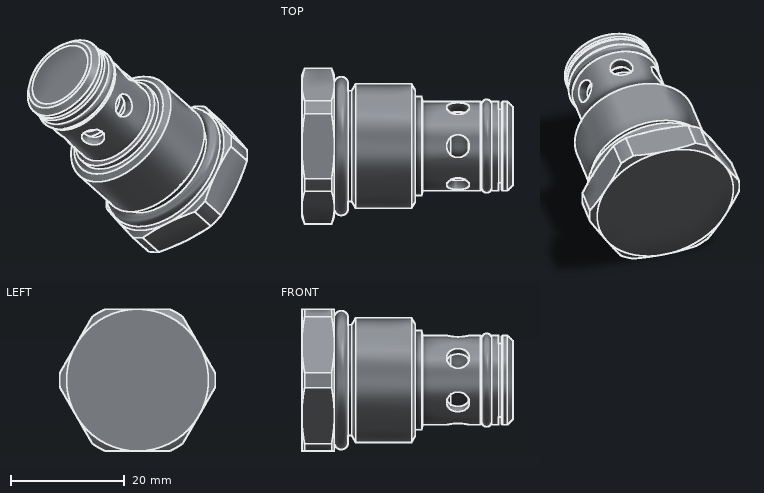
import cadquery as cq
import math


across_flats = 25.0
head_length = 5.7
corner_radius = 13.745
head_chamfer_length = 0.48
sharp_corner_diameter = across_flats / math.cos(math.radians(30))

neck_radius = 9.8
body_radius = 11.0
body_start = 8.78
shoulder_x = 20.0
body_chamfer_length = (body_radius - neck_radius) * math.tan(math.radians(30))

collar_radius = 8.75
collar_end = 21.1
nose_radius = 7.9
nose_start = 21.3
total_length = 37.2
tip_chamfer = 1.0
groove_edge_chamfer = 0.25

head_ring_thickness = 2.45
nose_ring_thickness = 1.7
nose_ring_outer_radius = 8.25
ring_groove_end = 33.4

tip_groove_start = 34.63
tip_groove_width = 0.48
tip_groove_radius = 6.5
tip_groove_end = tip_groove_start + tip_groove_width

port_count = 6
port_diameter = 4.0
port_x = 27.5

bore_radius = 6.1
bore_start = collar_end
waist_radius = 4.9
waist_start = 26.2
waist_end = 29.27

ring_groove_start = ring_groove_end - nose_ring_thickness
ring_groove_radius = nose_ring_outer_radius - nose_ring_thickness


def revolve_about_x(profile):
    """Turn an outline of (x, radius) points about the X axis."""
    return cq.Workplane("XY").polyline(profile).close().revolve(360, (0, 0, 0), (1, 0, 0))


def make_hex_head():
    """Hexagon with flats facing +Z and -Z, its corners turned round and chamfered at both ends."""
    hexagon = (
        cq.Workplane("YZ")
        .polygon(6, sharp_corner_diameter)
        .extrude(head_length)
    )
    turned_blank = revolve_about_x([
        (0, 0),
        (0, across_flats / 2),
        (head_chamfer_length, corner_radius),
        (head_length - head_chamfer_length, corner_radius),
        (head_length, across_flats / 2),
        (head_length, 0),
    ])
    return hexagon.intersect(turned_blank)


def make_shank():
    """Turned part behind the head: neck, threaded body, collar and grooved nose."""
    return revolve_about_x([
        (head_length, 0),
        (head_length, neck_radius),
        (body_start, neck_radius),
        (body_start + body_chamfer_length, body_radius),
        (shoulder_x - body_chamfer_length, body_radius),
        (shoulder_x, neck_radius),
        (shoulder_x, collar_radius),
        (collar_end, collar_radius),
        (nose_start, nose_radius),
        (ring_groove_start - groove_edge_chamfer, nose_radius),
        (ring_groove_start, nose_radius - groove_edge_chamfer),
        (ring_groove_start, ring_groove_radius),
        (ring_groove_end, ring_groove_radius),
        (ring_groove_end, nose_radius),
        (tip_groove_start, nose_radius),
        (tip_groove_start, tip_groove_radius),
        (tip_groove_end, tip_groove_radius),
        (tip_groove_end, nose_radius - groove_edge_chamfer),
        (tip_groove_end + groove_edge_chamfer, nose_radius),
        (total_length - tip_chamfer, nose_radius),
        (total_length, nose_radius - tip_chamfer),
        (total_length, 0),
    ])


def make_port(angle):
    """Radial drill from the axis out through the nose wall, turned about X from +Z."""
    drill_length = collar_radius
    drill = cq.Workplane("XY").center(port_x, 0).circle(port_diameter / 2).extrude(drill_length)
    return drill.rotate((0, 0, 0), (1, 0, 0), angle)


def make_housing():
    """Head and shank in one piece, bored from the tip and drilled with a ring of ports."""
    bore = (
        cq.Workplane("YZ", origin=(bore_start, 0, 0))
        .circle(bore_radius)
        .extrude(total_length - bore_start)
    )
    body = make_hex_head().union(make_shank()).cut(bore)
    for index in range(port_count):
        body = body.cut(make_port(index * 360 / port_count))
    return body


def make_spool():
    """Spool filling the bore, with a narrow waist under the ports."""
    return revolve_about_x([
        (bore_start, 0),
        (bore_start, bore_radius),
        (waist_start, bore_radius),
        (waist_start, waist_radius),
        (waist_end, waist_radius),
        (waist_end, bore_radius),
        (total_length, bore_radius),
        (total_length, 0),
    ])


def make_o_ring(start_x, inner_radius, thickness):
    """Round-section ring about X whose near side touches the plane at start_x."""
    section_radius = thickness / 2
    centre_radius = inner_radius + section_radius
    section = cq.Workplane("XY").center(start_x + section_radius, centre_radius).circle(section_radius)
    return section.revolve(360, (0, -centre_radius, 0), (1, -centre_radius, 0))


housing = make_housing()
spool = make_spool()
head_ring = make_o_ring(head_length, neck_radius, head_ring_thickness)
nose_ring = make_o_ring(ring_groove_start, ring_groove_radius, nose_ring_thickness)

result = cq.Compound.makeCompound([
    housing.val(),
    spool.val(),
    head_ring.val(),
    nose_ring.val(),
])